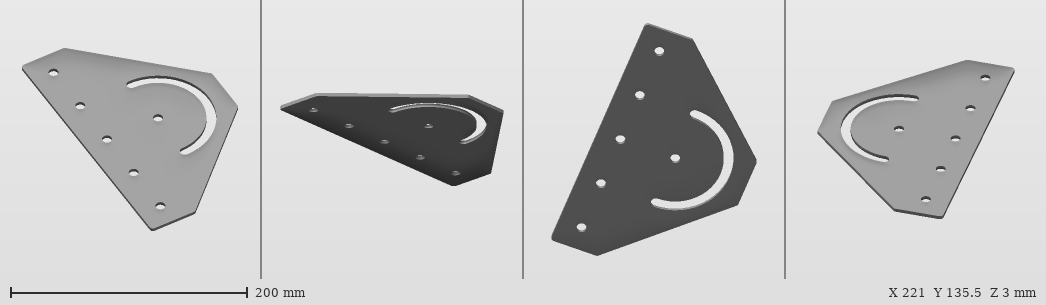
import cadquery as cq

length = 221.0
depth = 135.5
thickness = 3.0
side_height = 42.5
top_width = 44.2
corner_radius = 3.0

hole_diameter = 8.5
hole_spacing = 45.0
hole_count = 5
hole_row_y = 20.3
pivot_y = 70.0
slot_radius = hole_spacing
slot_width = hole_diameter


def make_plate():
    """Plate symmetric about X = 0, with its long edge on Y = 0."""
    outline = [
        (-length / 2, 0),
        (length / 2, 0),
        (length / 2, side_height),
        (top_width / 2, depth),
        (-top_width / 2, depth),
        (-length / 2, side_height),
    ]
    plate = cq.Workplane("XY").polyline(outline).close().extrude(thickness)
    return plate.edges("|Z").fillet(corner_radius)


def make_holes():
    """A row of holes along the long edge and one pivot hole above its middle."""
    first_x = -(hole_count - 1) / 2 * hole_spacing
    centers = [(first_x + i * hole_spacing, hole_row_y) for i in range(hole_count)]
    centers.append((0, pivot_y))
    return cq.Workplane("XY").pushPoints(centers).circle(hole_diameter / 2).extrude(thickness)


def make_slot():
    """Half-circle slot around the pivot hole, with round ends."""
    outer = slot_radius + slot_width / 2
    inner = slot_radius - slot_width / 2
    end_drop = -slot_width / 2
    return (
        cq.Workplane("XY", origin=(0, pivot_y, 0))
        .moveTo(-outer, 0)
        .threePointArc((0, outer), (outer, 0))
        .threePointArc((slot_radius, end_drop), (inner, 0))
        .threePointArc((0, inner), (-inner, 0))
        .threePointArc((-slot_radius, end_drop), (-outer, 0))
        .close()
        .extrude(thickness)
    )


result = make_plate().cut(make_holes()).cut(make_slot())